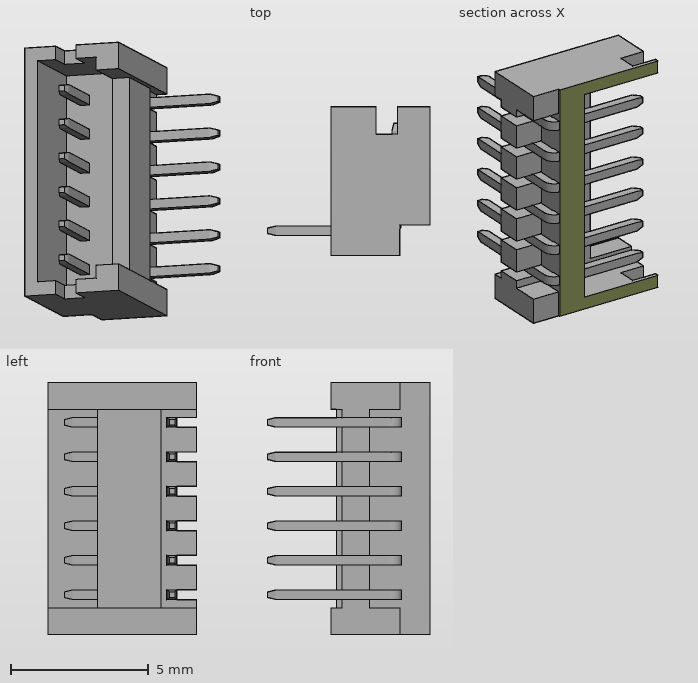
import cadquery as cq

HEIGHT_X = 3.6
DEPTH_Y = 5.4
LENGTH_Z = 9.15

END_WALL = 0.975
END_WALL_THIN = 0.5
STEP_X = 2.5
STEP_Y = 1.1
LATCH_NOTCH_START_X = 1.64
LATCH_NOTCH_END_X = 2.41
LATCH_NOTCH_DEPTH = 1.0

COMB_START_X = 0.4
COMB_END_X = 1.4
FRONT_WALL_X = 0.2
FRONT_WALL_START_Y = 1.3
FRONT_WALL_END_Y = 3.6
CAVITY_START_X = 0.86
BACK_WALL = 0.5
BASE_THICKNESS = 1.1
CAVITY_FLOOR_Y = STEP_Y + BASE_THICKNESS

PIN_COUNT = 6
PIN_PITCH = 1.25
PIN_WIDTH = 0.35
PIN_TAIL_TIP_X = -2.3
PIN_TAIL_Y = 0.72
PIN_CONTACT_X = 2.56
PIN_CONTACT_TIP_Y = 4.8
PIN_BEND_RADIUS = 0.44
PIN_TIP_LENGTH = 0.3
PIN_TIP_WIDTH = 0.2

INNER_LENGTH = LENGTH_Z - 2 * END_WALL
MIDDLE_Z = LENGTH_Z / 2


def block(x_range, y_range, z_length):
    """Box between the given X and Y limits, centred on the middle of the length."""
    x_size = x_range[1] - x_range[0]
    y_size = y_range[1] - y_range[0]
    centre = (sum(x_range) / 2, sum(y_range) / 2, MIDDLE_Z)
    return cq.Workplane("XY").box(x_size, y_size, z_length).translate(centre)


def make_housing():
    """Side-entry housing whose mating cavity opens toward +Y."""
    housing = block((0, HEIGHT_X), (0, DEPTH_Y), LENGTH_Z)

    housing = housing.cut(block((STEP_X, HEIGHT_X), (0, STEP_Y), LENGTH_Z))

    housing = housing.cut(block((COMB_END_X, STEP_X), (0, STEP_Y), INNER_LENGTH))
    housing = housing.cut(block((0, FRONT_WALL_X), (0, DEPTH_Y), INNER_LENGTH))
    housing = housing.cut(block((0, COMB_START_X), (0, FRONT_WALL_START_Y), INNER_LENGTH))
    housing = housing.cut(block((0, CAVITY_START_X), (FRONT_WALL_END_Y, DEPTH_Y), INNER_LENGTH))

    cavity_x = (CAVITY_START_X, HEIGHT_X - BACK_WALL)
    housing = housing.cut(block(cavity_x, (CAVITY_FLOOR_Y, DEPTH_Y), LENGTH_Z - 2 * END_WALL_THIN))

    notch_x = (LATCH_NOTCH_START_X, LATCH_NOTCH_END_X)
    return housing.cut(block(notch_x, (DEPTH_Y - LATCH_NOTCH_DEPTH, DEPTH_Y), LENGTH_Z))


def make_slot():
    """Slot between two comb teeth that holds one pin tail."""
    return block((COMB_START_X, COMB_END_X), (0, STEP_Y), PIN_WIDTH)


def make_tip(plane):
    """Square tapered tip, starting at the plane origin and pointing along its normal."""
    return (
        cq.Workplane(plane)
        .rect(PIN_WIDTH, PIN_WIDTH)
        .workplane(offset=PIN_TIP_LENGTH)
        .rect(PIN_TIP_WIDTH, PIN_TIP_WIDTH)
        .loft(ruled=True)
    )


def make_pin():
    """Right-angle pin: tail along -X, rounded bend, contact leg along +Y."""
    tail_start_x = PIN_TAIL_TIP_X + PIN_TIP_LENGTH
    leg_end_y = PIN_CONTACT_TIP_Y - PIN_TIP_LENGTH
    tail = block((tail_start_x, PIN_CONTACT_X), (PIN_TAIL_Y, PIN_TAIL_Y + PIN_WIDTH), PIN_WIDTH)
    leg = block((PIN_CONTACT_X - PIN_WIDTH, PIN_CONTACT_X), (PIN_TAIL_Y, leg_end_y), PIN_WIDTH)
    shaft = tail.union(leg)

    bend_centre_x = PIN_CONTACT_X - PIN_BEND_RADIUS
    bend_centre_y = PIN_TAIL_Y + PIN_BEND_RADIUS
    inner_radius = PIN_BEND_RADIUS - PIN_WIDTH
    shaft = shaft.edges("|Z and >X and <Y").fillet(PIN_BEND_RADIUS)
    inner_corner = cq.selectors.NearestToPointSelector(
        (bend_centre_x - inner_radius, bend_centre_y + inner_radius, MIDDLE_Z)
    )
    shaft = shaft.edges("|Z").edges(inner_corner).fillet(inner_radius)

    tail_centre = (tail_start_x, PIN_TAIL_Y + PIN_WIDTH / 2, MIDDLE_Z)
    leg_centre = (PIN_CONTACT_X - PIN_WIDTH / 2, leg_end_y, MIDDLE_Z)
    tail_tip = make_tip(cq.Plane(tail_centre, xDir=(0, 1, 0), normal=(-1, 0, 0)))
    leg_tip = make_tip(cq.Plane(leg_centre, xDir=(1, 0, 0), normal=(0, 1, 0)))
    return shaft.union(tail_tip).union(leg_tip)


result = make_housing()
slot = make_slot()
pin = make_pin()
for index in range(PIN_COUNT):
    pin_offset = (0, 0, (index - (PIN_COUNT - 1) / 2) * PIN_PITCH)
    result = result.cut(slot.translate(pin_offset)).union(pin.translate(pin_offset))